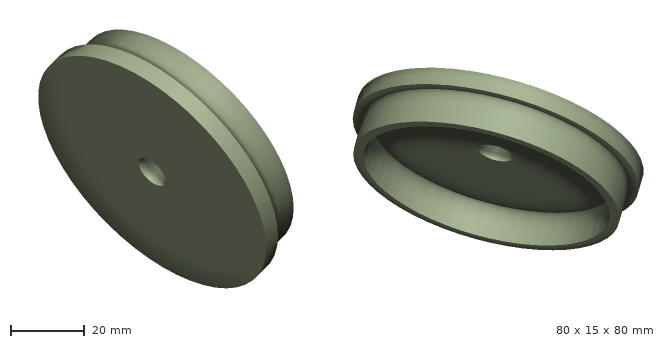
import cadquery as cq

flange_diameter = 80.0
rim_diameter = 74.5
bore_diameter = 9.5
total_depth = 15.0
rim_depth = 10.0
rim_wall = 2.7
flange_thickness = total_depth - rim_depth


def disc(diameter, front, depth):
    """Solid disc on the Y axis, running from y = front toward +Y."""
    plane = cq.Workplane("XZ", origin=(0, front, 0))
    return plane.circle(diameter / 2).extrude(-depth)


flange = disc(flange_diameter, 0, flange_thickness)
rim = disc(rim_diameter, flange_thickness, rim_depth)

recess = disc(rim_diameter - 2 * rim_wall, flange_thickness, rim_depth)

bore = disc(bore_diameter, 0, total_depth)

result = flange.union(rim).cut(recess).cut(bore)